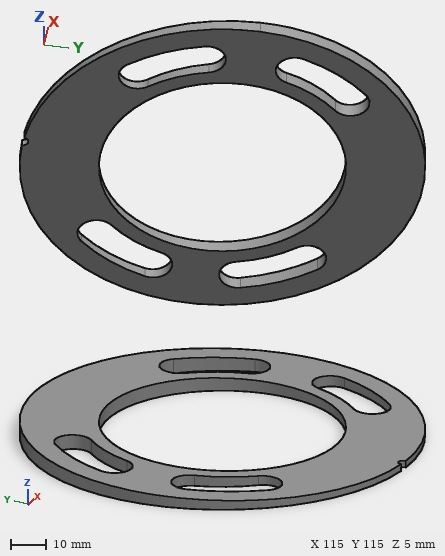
import cadquery as cq
import math

outer_diameter = 115.0
bore_diameter = 70.0
thick_edge = 5.0
thin_edge = 2.1

slot_path_radius = 45.1
slot_width = 10.8
slot_span = 26.5
slot_angles = (29.6, 150.4, 208.4, 330.4)

notch_radius = 1.5

outer_radius = outer_diameter / 2


def polar_point(radius, angle):
    """Point at a radius and an angle in degrees from +X."""
    return (radius * math.cos(math.radians(angle)), radius * math.sin(math.radians(angle)))


def tapered_disc():
    """Round disc cut from a wedge that thickens towards +Y."""
    wedge = (
        cq.Workplane("YZ")
        .moveTo(-outer_radius, 0)
        .lineTo(outer_radius, 0)
        .lineTo(outer_radius, thick_edge)
        .lineTo(-outer_radius, thin_edge)
        .close()
        .extrude(outer_radius, both=True)
    )
    cylinder = cq.Workplane("XY").circle(outer_radius).extrude(thick_edge)
    return cylinder.intersect(wedge)


def curved_slot(middle_angle):
    """Through cutter for one arc-shaped slot with round ends."""
    start = middle_angle - slot_span / 2
    end = middle_angle + slot_span / 2
    cap_radius = slot_width / 2
    inner = slot_path_radius - cap_radius
    outer = slot_path_radius + cap_radius

    def cap_tip(angle, direction):
        """Outermost point of an end cap; direction is 1 for the end, -1 for the start."""
        centre_x, centre_y = polar_point(slot_path_radius, angle)
        offset_x, offset_y = polar_point(cap_radius, angle + direction * 90)
        return (centre_x + offset_x, centre_y + offset_y)

    return (
        cq.Workplane("XY")
        .moveTo(*polar_point(outer, start))
        .threePointArc(polar_point(outer, middle_angle), polar_point(outer, end))
        .threePointArc(cap_tip(end, 1), polar_point(inner, end))
        .threePointArc(polar_point(inner, middle_angle), polar_point(inner, start))
        .threePointArc(cap_tip(start, -1), polar_point(outer, start))
        .close()
        .extrude(thick_edge)
    )


bore = cq.Workplane("XY").circle(bore_diameter / 2).extrude(thick_edge)
notch = cq.Workplane("XY").center(0, -outer_radius).circle(notch_radius).extrude(thick_edge)

result = tapered_disc().cut(bore).cut(notch)
for slot_angle in slot_angles:
    result = result.cut(curved_slot(slot_angle))